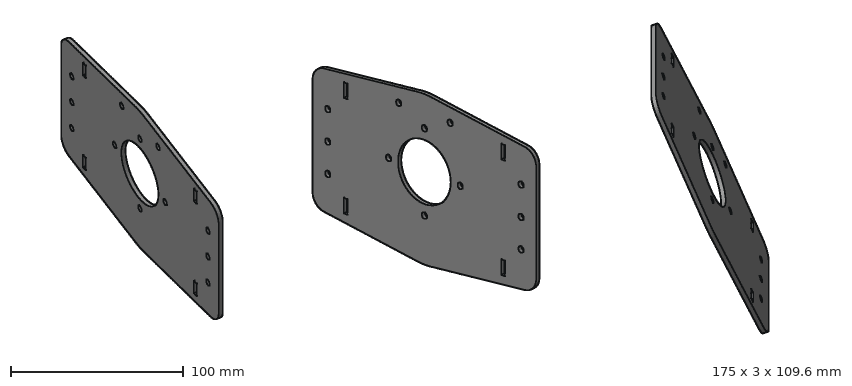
import cadquery as cq

width = 175.0
thickness = 3.0
corner_height = 90.0
peak_height = 110.2
corner_radius = 10.0
peak_radius = 43.8

opening_diameter = 41.1
opening_z = 4.7
mount_radius = 28.0

hole_diameter = 4.0
side_hole_x = 75.6
side_hole_pitch = 20.8
upper_hole_x = 20.1
upper_hole_z = 42.7

slot_width = 3.0
slot_height = 10.0
slot_x = 61.6
slot_z = 37.1


def make_plate():
    """Plate with rounded side corners and softly rounded peaks."""
    outline = [
        (-width / 2, -corner_height / 2),
        (0, -peak_height / 2),
        (width / 2, -corner_height / 2),
        (width / 2, corner_height / 2),
        (0, peak_height / 2),
        (-width / 2, corner_height / 2),
    ]
    plate = (
        cq.Workplane("XZ")
        .polyline(outline)
        .close()
        .extrude(thickness / 2, both=True)
    )
    plate = plate.edges("|Y and (<X or >X)").fillet(corner_radius)
    return plate.edges("|Y and (<Z or >Z)").fillet(peak_radius)


def round_cutters(points, diameter):
    """Cylinders through the plate at the given (x, z) points."""
    return cq.Workplane("XZ").pushPoints(points).circle(diameter / 2).extrude(thickness, both=True)


def slot_cutters(points):
    """Rectangular bars through the plate at the given (x, z) points."""
    return cq.Workplane("XZ").pushPoints(points).rect(slot_width, slot_height).extrude(thickness, both=True)


mount_holes = [
    (-mount_radius, opening_z),
    (mount_radius, opening_z),
    (0, opening_z - mount_radius),
    (0, opening_z + mount_radius),
]
upper_holes = [(side * upper_hole_x, upper_hole_z) for side in (-1, 1)]
side_holes = [(side * side_hole_x, row * side_hole_pitch) for side in (-1, 1) for row in (-1, 0, 1)]
slots = [(side * slot_x, level * slot_z) for side in (-1, 1) for level in (-1, 1)]

result = (
    make_plate()
    .cut(round_cutters([(0, opening_z)], opening_diameter))
    .cut(round_cutters(mount_holes + upper_holes + side_holes, hole_diameter))
    .cut(slot_cutters(slots))
)